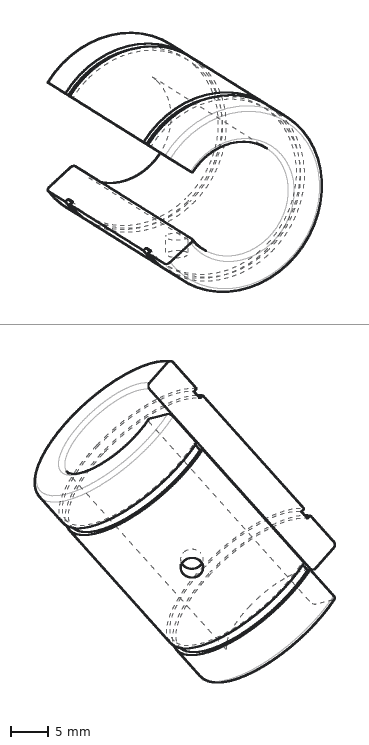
import cadquery as cq

length = 36.0
outer_diameter = 26.0
bore_diameter = 16.0
edge_radius = 0.6

opening_angle = 72.0

groove_diameter = 24.9
groove_width = 1.3
groove_outer_span = 24.6

hole_diameter = 3.0

outer_radius = outer_diameter / 2
bore_radius = bore_diameter / 2
groove_depth = (outer_diameter - groove_diameter) / 2
wall_thickness = outer_radius - bore_radius
hole_depth = wall_thickness / 2


def wall_section():
    """Lengthwise section of the wall, lying at +Y, with rounded corners."""
    section = cq.Sketch().rect(length, wall_thickness).vertices().fillet(edge_radius)
    return section.moved(cq.Location(cq.Vector(length / 2, bore_radius + wall_thickness / 2, 0)))


def open_sleeve():
    """Wall section swept about X, leaving the opening centred on -Y."""
    half_turn = 180
    start_angle = half_turn + opening_angle / 2
    sleeve = (
        cq.Workplane("XY")
        .placeSketch(wall_section())
        .revolve(2 * half_turn - opening_angle, (0, 0, 0), (1, 0, 0))
    )
    return sleeve.rotate((0, 0, 0), (1, 0, 0), start_angle)


def ring_groove(start):
    """Ring-shaped cutter for the groove whose first side is at X = start."""
    groove_radius = groove_diameter / 2
    return (
        cq.Workplane("YZ", origin=(start, 0, 0))
        .circle(outer_radius + groove_depth)
        .circle(groove_radius)
        .extrude(groove_width)
    )


def locating_hole():
    """Cylinder cutter rising from the lowest line of the sleeve at mid-length."""
    return (
        cq.Workplane("XY", origin=(length / 2, 0, -outer_radius))
        .circle(hole_diameter / 2)
        .extrude(hole_depth)
    )


first_groove = (length - groove_outer_span) / 2
last_groove = first_groove + groove_outer_span - groove_width

result = open_sleeve()
for groove_start in (first_groove, last_groove):
    result = result.cut(ring_groove(groove_start))
result = result.cut(locating_hole())